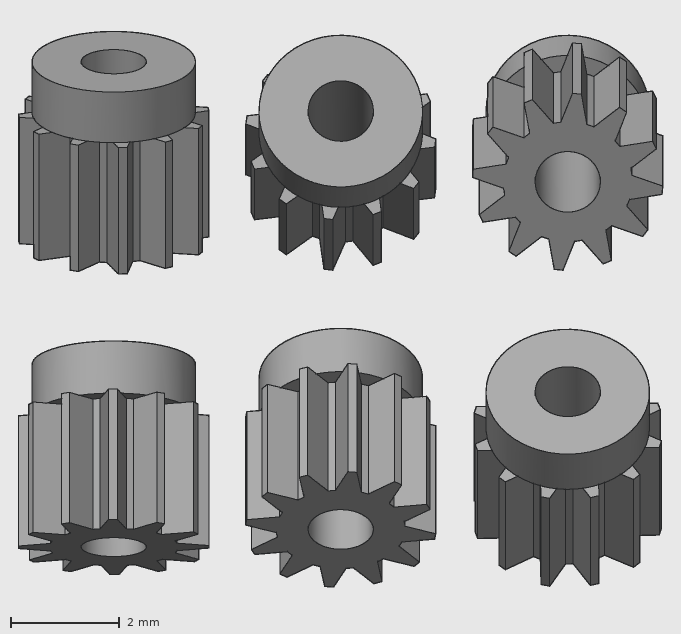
import cadquery as cq
import math

total_height = 3.5
hub_height = 1.0
hub_radius = 1.5
bore_radius = 0.6
tooth_count = 12
tip_radius = 1.75
root_radius = 1.185
tip_half_angle = 2.7
flank_slope = 15.0

gear_height = total_height - hub_height
tooth_pitch = 360.0 / tooth_count

flank_offset = tip_radius * math.sin(math.radians(tip_half_angle + flank_slope))
root_half_angle = math.degrees(math.asin(flank_offset / root_radius)) - flank_slope


def polar_point(radius, angle):
    """Point at a radius and an angle in degrees about the gear axis."""
    return (radius * math.cos(math.radians(angle)), radius * math.sin(math.radians(angle)))


def make_gear():
    """Straight-flanked toothed body with no tooth centred on the X or Y axis."""
    outline = []
    for tooth in range(tooth_count):
        centre = (tooth + 0.5) * tooth_pitch
        outline.append(polar_point(root_radius, centre - root_half_angle))
        outline.append(polar_point(tip_radius, centre - tip_half_angle))
        outline.append(polar_point(tip_radius, centre + tip_half_angle))
        outline.append(polar_point(root_radius, centre + root_half_angle))
    return cq.Workplane("XY").polyline(outline).close().extrude(gear_height)


def make_hub():
    """Plain round hub on top of the gear."""
    return cq.Workplane("XY").workplane(offset=gear_height).circle(hub_radius).extrude(hub_height)


def make_bore():
    """Cylinder that clears the shaft hole through the full height."""
    return cq.Workplane("XY").circle(bore_radius).extrude(total_height)


result = make_gear().union(make_hub()).cut(make_bore())